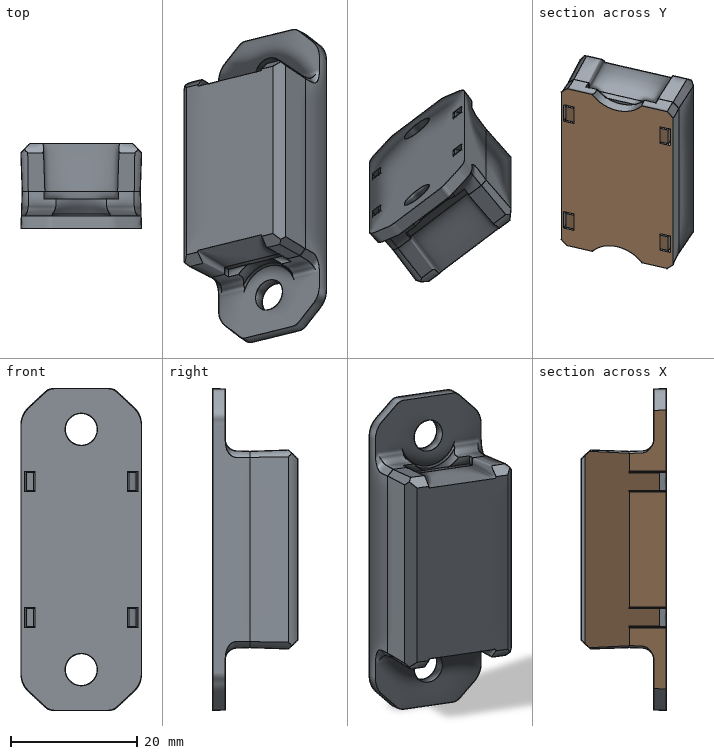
import cadquery as cq
import math

WIDTH = 19.1
LENGTH = 50.95
HEIGHT = 13.45
DRAFT = 2.0
DRAFT_SLOPE = math.tan(math.radians(DRAFT))

PLATE_THICKNESS = 2.0
PARTING_Y = 5.85
PLATE_CORNER_X = 4.45
PLATE_CORNER_Z = 4.15
PLATE_SIDE_RADIUS = 3.8
PLATE_END_RADIUS = 1.85
BLOCK_LENGTH = 31.5
BLOCK_CORNER = 1.1
BLOCK_FILLET = 1.85
SIDE_OVERHANG = 3.05

SCREW_Z = 19.0
SCREW_DIAMETER = 5.05
CLEARANCE_RADIUS = 5.25
CLEARANCE_CHAMFER = 0.3

COVER_CHAMFER = 1.5

RECESS_DEPTH = 1.2
RECESS_BOTTOM_Y = 4.7
COVER_RECESS_WIDTH = 11.5
BASE_RECESS_WIDTH = 11.7
RECESS_FILLET = 0.25

WINDOW_INNER_X = 7.3
WINDOW_WIDTH = 1.7
WINDOW_LENGTH = 3.2
WINDOW_Z = 10.75
ARM_WIDTH = 1.4
ARM_LENGTH = 2.85
ARM_RAMP = 1.05

PARTING_LENGTH = BLOCK_LENGTH - 2 * PARTING_Y * DRAFT_SLOPE
COVER_SPREAD = 2 * (HEIGHT - 2 * PARTING_Y) * DRAFT_SLOPE
COVER_WIDTH = WIDTH + COVER_SPREAD
COVER_LENGTH = BLOCK_LENGTH + COVER_SPREAD
RECESS_FLOOR_Z = PARTING_LENGTH / 2 - RECESS_DEPTH


def plane_at(y, normal_y=1):
    """Workplane parallel to the mounting face at height y, facing +Y or -Y."""
    return cq.Workplane(cq.Plane(origin=(0, y, 0), xDir=(1, 0, 0), normal=(0, normal_y, 0)))


def chamfered_rectangle(width, length, corner):
    """Sketch of a rectangle with 45-degree corners."""
    return cq.Sketch().rect(width, length).vertices().chamfer(corner)


def drafted(sketch, wide_y, narrow_y):
    """Solid with the given section at wide_y, drafted inwards towards narrow_y."""
    direction = 1 if narrow_y > wide_y else -1
    start = plane_at(wide_y, direction)
    return start.placeSketch(sketch).extrude(abs(narrow_y - wide_y), taper=DRAFT)


def corner_edges(body, x, z):
    """The four edges of body that rise from near (+-x, +-z)."""
    edges = []
    for side in (-1, 1):
        for end in (-1, 1):
            corner = cq.selectors.NearestToPointSelector((side * x, PARTING_Y / 2, end * z))
            edges += body.edges(corner).vals()
    return body.newObject(edges)


def plate_column():
    """Drafted column on the rounded plate outline, up to the parting plane."""
    side_x = WIDTH / 2
    end_z = LENGTH / 2
    inner_x = side_x - PLATE_CORNER_X
    inner_z = end_z - PLATE_CORNER_Z
    outline = cq.Sketch().polygon([
        (side_x, -inner_z),
        (side_x, inner_z),
        (inner_x, end_z),
        (-inner_x, end_z),
        (-side_x, inner_z),
        (-side_x, -inner_z),
        (-inner_x, -end_z),
        (inner_x, -end_z),
        (side_x, -inner_z),
    ])
    column = drafted(outline, 0, PARTING_Y)
    column = corner_edges(column, side_x, inner_z).fillet(PLATE_SIDE_RADIUS)
    return corner_edges(column, inner_x, end_z).fillet(PLATE_END_RADIUS)


def stepped_blank():
    """Flat slab with the block filleted onto it; both overhang the plate at the sides."""
    slab_width = WIDTH + 4 * SIDE_OVERHANG
    slab = plane_at(0).rect(slab_width, LENGTH + 2 * SIDE_OVERHANG).extrude(PLATE_THICKNESS)
    plan = chamfered_rectangle(
        WIDTH + 2 * SIDE_OVERHANG, BLOCK_LENGTH, BLOCK_CORNER + SIDE_OVERHANG
    )
    block = drafted(plan, 0, PARTING_Y)
    blank = slab.union(block)
    slab_face = blank.faces("+Y").faces("<Y").val()
    return blank.newObject(slab_face.innerWires()).edges().fillet(BLOCK_FILLET)


def end_recess(end, parting_width, far_y):
    """Cutter for an end-wall recess that widens from the parting plane to far_y."""
    spread = abs(far_y - PARTING_Y) * DRAFT_SLOPE
    floor_z = RECESS_FLOOR_Z - spread
    section = cq.Sketch().rect(parting_width + 2 * spread, LENGTH / 2 - floor_z)
    cutter = drafted(section, far_y, PARTING_Y)
    return cutter.translate((0, 0, end * (LENGTH / 2 + floor_z) / 2))


def recess_corners(body, z):
    """The two edges of body that rise along the sides of the cover recess, near depth z."""
    edges = []
    for side in (-1, 1):
        corner = (side * COVER_RECESS_WIDTH / 2, (PARTING_Y + HEIGHT) / 2, z)
        edges += body.edges(cq.selectors.NearestToPointSelector(corner)).vals()
    return body.newObject(edges)


def screw_clearance(end):
    """Cutter for the round pocket beside a screw head, with a conical foot."""
    foot_radius = CLEARANCE_RADIUS - CLEARANCE_CHAMFER
    profile = cq.Workplane("XY").polyline([
        (0, PLATE_THICKNESS),
        (foot_radius, PLATE_THICKNESS),
        (CLEARANCE_RADIUS, PLATE_THICKNESS + CLEARANCE_CHAMFER),
        (CLEARANCE_RADIUS, RECESS_BOTTOM_Y),
        (0, RECESS_BOTTOM_Y),
    ]).close()
    return profile.revolve(360, (0, 0, 0), (0, 1, 0)).translate((0, 0, end * SCREW_Z))


def make_base():
    base = plate_column().intersect(stepped_blank())
    for end in (-1, 1):
        base = base.cut(end_recess(end, BASE_RECESS_WIDTH, RECESS_BOTTOM_Y))
        base = base.cut(screw_clearance(end))
        hole = plane_at(0).center(0, end * SCREW_Z).circle(SCREW_DIAMETER / 2).extrude(PLATE_THICKNESS)
        base = base.cut(hole)

    window_x = WINDOW_INNER_X + WINDOW_WIDTH / 2
    windows = plane_at(0).rect(2 * window_x, 2 * WINDOW_Z, forConstruction=True).vertices()
    return base.cut(windows.rect(WINDOW_WIDTH, WINDOW_LENGTH).extrude(PARTING_Y))


def snap_arm(side, z):
    """Cover arm reaching down to the mounting face, with a 45-degree outer ramp at its tip."""
    inner = WINDOW_INNER_X
    outer = WINDOW_INNER_X + ARM_WIDTH
    profile = cq.Workplane("XY").polyline([
        (side * inner, 0),
        (side * (outer - ARM_RAMP), 0),
        (side * outer, ARM_RAMP),
        (side * outer, PARTING_Y),
        (side * inner, PARTING_Y),
    ]).close()
    return profile.extrude(ARM_LENGTH / 2, both=True).translate((0, 0, z))


def make_cover():
    column = drafted(chamfered_rectangle(COVER_WIDTH, COVER_LENGTH, BLOCK_CORNER), HEIGHT, PARTING_Y)
    cover = drafted(cq.Sketch().rect(COVER_WIDTH, COVER_LENGTH), HEIGHT, PARTING_Y)
    cover = cover.faces(">Y").chamfer(COVER_CHAMFER).intersect(column)

    for end in (-1, 1):
        recess = end_recess(end, COVER_RECESS_WIDTH, HEIGHT)
        inner_edges = recess_corners(recess, end * RECESS_FLOOR_Z)
        cover = cover.cut(inner_edges.fillet(RECESS_FILLET))
        cover = recess_corners(cover, end * PARTING_LENGTH / 2).fillet(RECESS_FILLET)

    for side in (-1, 1):
        for z in (-WINDOW_Z, WINDOW_Z):
            cover = cover.union(snap_arm(side, z))
    return cover


base = make_base()
cover = make_cover()

result = cq.Compound.makeCompound([base.solids().val(), cover.solids().val()])